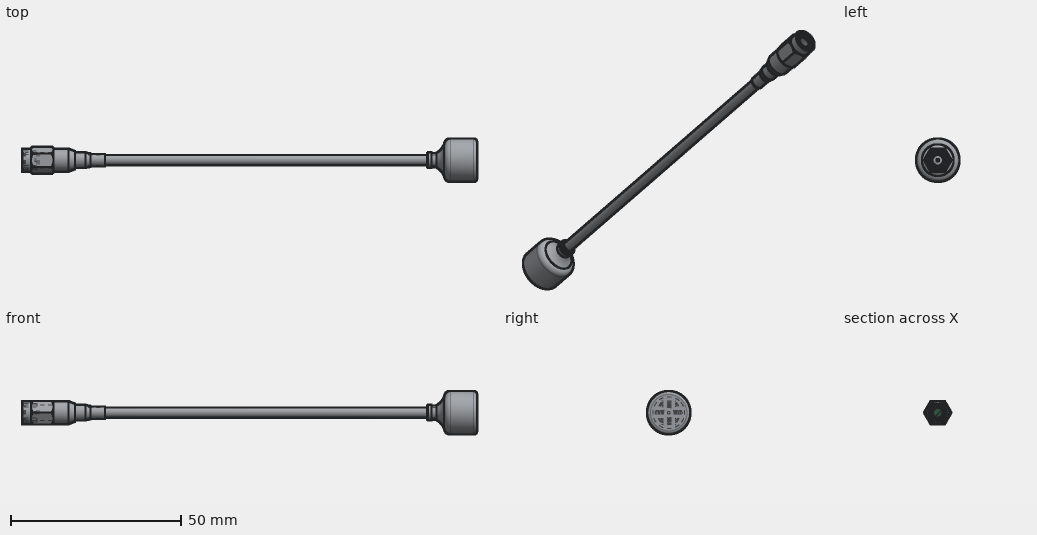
import cadquery as cq
import math

total_length = 133.7

nut_length = 9.2
nut_collar_length = 2.5
nut_diameter = 6.8
nut_across_flats = 7.0
hex_chamfer = 0.5
nut_bore_diameter = 5.3
nut_bore_chamfer = 0.4
nut_bore_depth = 4.3

shoulder_diameter = 6.8
shoulder_end = 13.6
taper_end_diameter = 5.3
taper_end = 15.5
barrel_diameter = 4.7
barrel_end = 18.6
neck_start_diameter = 4.5
neck_end_diameter = 4.0
neck_end = 20.0
ferrule_diameter = 3.7
ferrule_end = 24.3
spigot_diameter = 4.5
socket_diameter = 3.2
socket_depth = 4.3
spigot_chamfer = 0.3
spigot_setback = 0.7
pin_diameter = 0.8
pin_setback = 3.7

cable_diameter = 3.1
cable_start = barrel_end
cable_insertion = 2.7

cap_start = 119.0
cap_diameter = 12.8
cap_collar_diameter = 4.7
cap_collar_length = 1.2
cap_collar_chamfer = 0.3
cap_neck_diameter = 4.3
cap_neck_end = 121.7
cap_flare_diameter = 9.4
cap_flare_end = 124.0
cap_flare_mid = (122.9, 3.1)
cap_wall_start = 125.8
cap_end_fillet = 1.1

centre_x = total_length / 2


def cylinder(start, end, diameter):
    """Solid cylinder along X between two stations measured from the connector tip."""
    plane = cq.Workplane("YZ", origin=(start - centre_x, 0, 0))
    return plane.circle(diameter / 2).extrude(end - start)


def cone(start, end, start_diameter, end_diameter):
    """Solid truncated cone along X between two stations measured from the connector tip."""
    return (
        cq.Workplane("YZ", origin=(start - centre_x, 0, 0))
        .circle(start_diameter / 2)
        .workplane(offset=end - start)
        .circle(end_diameter / 2)
        .loft()
    )


def make_nut():
    hex_length = nut_length - nut_collar_length
    across_corners = nut_across_flats / math.cos(math.pi / 6)
    hexagon = (
        cq.Workplane("YZ", origin=(nut_collar_length - centre_x, 0, 0))
        .polygon(6, across_corners)
        .extrude(hex_length)
    )
    corner_trim = cylinder(nut_collar_length, nut_length, across_corners).edges().chamfer(hex_chamfer)
    nut = hexagon.intersect(corner_trim).union(cylinder(0, nut_collar_length, nut_diameter))
    nut = nut.cut(cylinder(0, nut_bore_depth, nut_bore_diameter))
    nut = nut.cut(cone(0, nut_bore_chamfer, nut_bore_diameter + 2 * nut_bore_chamfer, nut_bore_diameter))
    return nut.cut(cylinder(nut_bore_depth, nut_length, spigot_diameter))


def make_connector():
    taper = cone(shoulder_end, taper_end, shoulder_diameter, taper_end_diameter)
    neck = cone(barrel_end, neck_end, neck_start_diameter, neck_end_diameter)
    spigot = cylinder(spigot_setback, nut_length, spigot_diameter).faces("<X").edges().chamfer(spigot_chamfer)
    socket_floor = spigot_setback + socket_depth
    return (
        spigot
        .cut(cylinder(spigot_setback, socket_floor, socket_diameter))
        .union(cylinder(pin_setback, socket_floor, pin_diameter))
        .union(cylinder(nut_length, shoulder_end, shoulder_diameter))
        .union(taper)
        .union(cylinder(taper_end, barrel_end, barrel_diameter))
        .union(neck)
        .union(cylinder(neck_end, ferrule_end, ferrule_diameter))
        .cut(cylinder(cable_start, ferrule_end, cable_diameter))
    )


def make_cable():
    return cylinder(cable_start, cap_start + cable_insertion, cable_diameter)


def make_cap():
    collar_end = cap_start + cap_collar_length
    shoulder_run = cap_wall_start - cap_flare_end
    shoulder_rise = (cap_diameter - cap_flare_diameter) / 2
    shoulder_mid = (
        cap_wall_start - shoulder_run * math.cos(math.pi / 4),
        cap_diameter / 2 - shoulder_rise * (1 - math.sin(math.pi / 4)),
    )
    cap = (
        cq.Workplane("XY")
        .moveTo(cap_start, 0)
        .lineTo(cap_start, cap_collar_diameter / 2 - cap_collar_chamfer)
        .lineTo(cap_start + cap_collar_chamfer, cap_collar_diameter / 2)
        .lineTo(collar_end, cap_collar_diameter / 2)
        .lineTo(collar_end, cap_neck_diameter / 2)
        .lineTo(cap_neck_end, cap_neck_diameter / 2)
        .threePointArc(cap_flare_mid, (cap_flare_end, cap_flare_diameter / 2))
        .threePointArc(shoulder_mid, (cap_wall_start, cap_diameter / 2))
        .lineTo(total_length, cap_diameter / 2)
        .lineTo(total_length, 0)
        .close()
        .revolve(360, (0, 0, 0), (1, 0, 0))
        .translate((-centre_x, 0, 0))
        .faces(">X").edges().fillet(cap_end_fillet)
    )
    return cap.cut(cylinder(cap_start, cap_start + cable_insertion, cable_diameter))


nut = make_nut()
connector = make_connector()
cable = make_cable()
cap = make_cap()

result = cq.Compound.makeCompound([nut.val(), connector.val(), cable.val(), cap.val()])